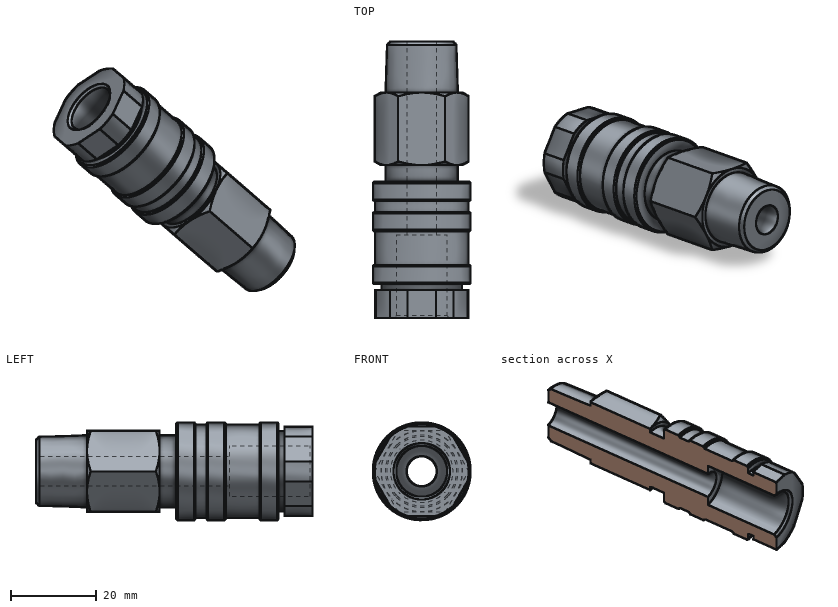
import cadquery as cq
import math

total_length = 65.0
socket_hex_end = 6.6
sleeve_start = 8.0
sleeve_end = 32.05
body_hex_start = 35.95
body_hex_end = 53.0

collar_diameter = 23.0
sleeve_diameter = 22.05
socket_neck_diameter = 19.0
rear_neck_diameter = 17.0
socket_hex_flats = 21.0
socket_hex_round = sleeve_diameter
body_hex_flats = 19.1

collar_length = 4.55
middle_collar_start = 20.4
collar_chamfer = 0.4
collar_starts = (sleeve_start, middle_collar_start, sleeve_end - collar_length)

hex_chamfer_angle = 30.0

thread_diameter = 17.0
thread_taper = 1 / 16
thread_chamfer = 0.85

socket_bore_diameter = 11.95
socket_bore_depth = 19.5
socket_bore_chamfer = 0.65
passage_diameter = 7.0


def cylinder(start, end, diameter):
    """Solid cylinder along Y between two positions."""
    return cq.Workplane("XZ", origin=(0, start, 0)).circle(diameter / 2).extrude(start - end)


def cone(start, end, start_diameter, end_diameter):
    """Solid frustum along Y, revolved from its half section."""
    section = [(0, start), (start_diameter / 2, start), (end_diameter / 2, end), (0, end)]
    return cq.Workplane("XY").polyline(section).close().revolve(360, (0, 0), (0, 1))


def hexagon(start, end, flats):
    """Hexagonal prism along Y with corners on the X axis."""
    corners = flats / math.cos(math.pi / 6)
    return cq.Workplane("XZ", origin=(0, start, 0)).polygon(6, corners).extrude(start - end)


def socket_nut():
    """Short hexagon with its corners rounded to a cylinder."""
    rounding = cylinder(0, socket_hex_end, socket_hex_round)
    return hexagon(0, socket_hex_end, socket_hex_flats).intersect(rounding)


def sleeve():
    """Grip sleeve with chamfered collars."""
    grip = cylinder(sleeve_start, sleeve_end, sleeve_diameter)
    for start in collar_starts:
        collar = cylinder(start, start + collar_length, collar_diameter)
        grip = grip.union(collar.edges("%CIRCLE").chamfer(collar_chamfer))
    return grip


def body_nut():
    """Long hexagon with conically turned corners at both ends."""
    corner_rise = body_hex_flats / math.cos(math.pi / 6) / 2 - body_hex_flats / 2
    chamfer_length = corner_rise * math.tan(math.radians(hex_chamfer_angle))
    half_flats = body_hex_flats / 2
    section = [
        (0, body_hex_start),
        (half_flats, body_hex_start),
        (half_flats + corner_rise, body_hex_start + chamfer_length),
        (half_flats + corner_rise, body_hex_end - chamfer_length),
        (half_flats, body_hex_end),
        (0, body_hex_end),
    ]
    turning = cq.Workplane("XY").polyline(section).close().revolve(360, (0, 0), (0, 1))
    return hexagon(body_hex_start, body_hex_end, body_hex_flats).intersect(turning)


def pipe_end():
    """Tapered pipe end with a chamfered tip."""
    taper_end = total_length - thread_chamfer
    taper_end_diameter = thread_diameter - thread_taper * (taper_end - body_hex_end)
    tip_diameter = taper_end_diameter - 2 * thread_chamfer
    taper = cone(body_hex_end, taper_end, thread_diameter, taper_end_diameter)
    return taper.union(cone(taper_end, total_length, taper_end_diameter, tip_diameter))


def bores():
    """Chamfered socket bore opening into a narrower through passage."""
    mouth_diameter = socket_bore_diameter + 2 * socket_bore_chamfer
    mouth = cone(0, socket_bore_chamfer, mouth_diameter, socket_bore_diameter)
    socket = cylinder(0, socket_bore_depth, socket_bore_diameter)
    return cylinder(0, total_length, passage_diameter).union(socket).union(mouth)


socket_neck = cylinder(socket_hex_end, sleeve_start, socket_neck_diameter)
rear_neck = cylinder(sleeve_end, body_hex_start, rear_neck_diameter)

coupling = socket_nut()
for section in (socket_neck, sleeve(), rear_neck, body_nut(), pipe_end()):
    coupling = coupling.union(section)

result = coupling.cut(bores())